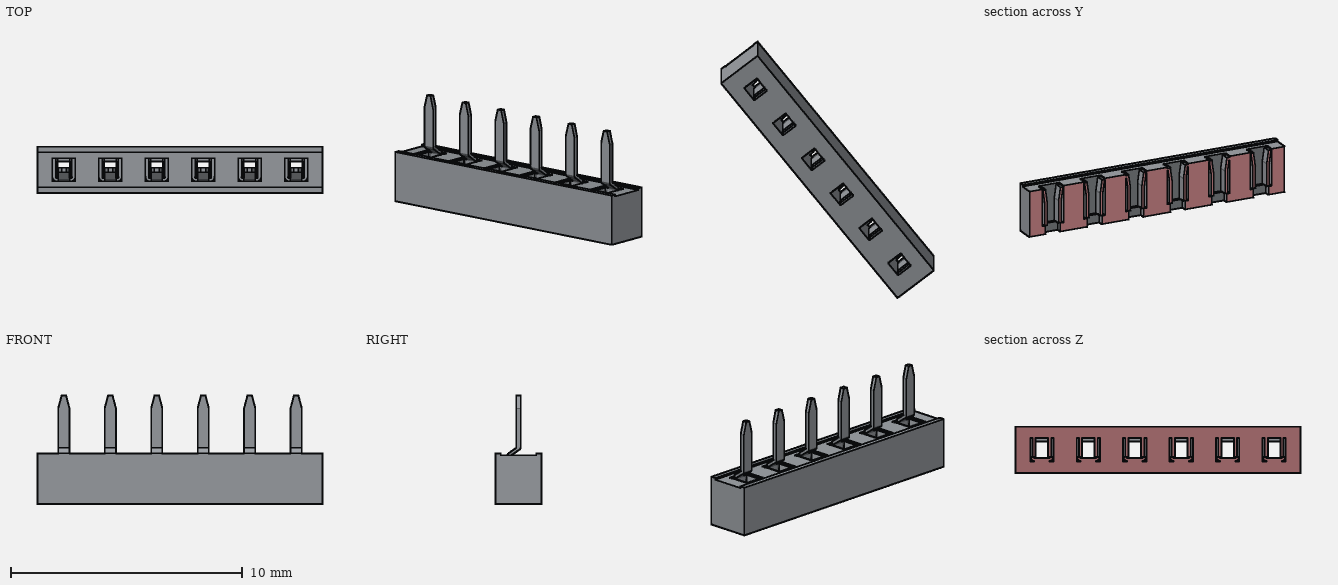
import cadquery as cq
import math


length = 12.3
depth = 2.0
height = 2.19
rail_width = 0.25
rail_height = 0.07
deck_z = height - rail_height

contact_count = 6
pitch = 2.0
cavity_size = 1.0
floor_thickness = 0.4
entry_size = 0.7

sheet = 0.15
bend_radius = 0.2
inner_radius = bend_radius - sheet
arm_gap = 0.53
lean_height = 0.6
clip_recess = 0.05
clip_top_z = deck_z - clip_recess
lean_end_z = clip_top_z - lean_height

pin_width = 0.49
pin_thickness = 0.2
pin_top_z = 4.7
tip_width = 0.2
tip_length = 0.55
crank_z = 2.44
crank_angle = 35.0

half_cavity = cavity_size / 2
back_y = half_cavity
front_y = -half_cavity
bend_y = front_y + bend_radius


def make_housing():
    """Block with a rail along both long top edges and a cavity per contact."""
    block = cq.Workplane("XY").box(length, depth, height, centered=(True, True, False))
    channel = (
        cq.Workplane("XY")
        .workplane(offset=deck_z)
        .rect(length, depth - 2 * rail_width)
        .extrude(rail_height)
    )
    cavities = (
        cq.Workplane("XY")
        .workplane(offset=floor_thickness)
        .rarray(pitch, pitch, contact_count, 1)
        .rect(cavity_size, cavity_size)
        .extrude(height)
    )
    entries = (
        cq.Workplane("XY")
        .rarray(pitch, pitch, contact_count, 1)
        .rect(entry_size, entry_size)
        .extrude(floor_thickness)
    )
    return block.cut(channel).cut(cavities).cut(entries)


def make_clip():
    """Front plate bent round into two arms that lean inwards, then drop to the floor."""
    clip_height = clip_top_z - floor_thickness
    inside = (
        cq.Workplane("XY")
        .box(cavity_size - 2 * sheet, cavity_size, clip_height, centered=(True, False, False))
        .edges("|Z and <Y")
        .fillet(inner_radius)
        .translate((0, sheet, 0))
    )
    plate = (
        cq.Workplane("XY")
        .box(cavity_size, cavity_size, clip_height, centered=(True, False, False))
        .edges("|Z and <Y")
        .fillet(bend_radius)
        .cut(inside)
        .translate((0, front_y, floor_thickness))
    )
    plate_zone = (
        cq.Workplane("XY")
        .box(cavity_size, bend_radius, height, centered=(True, False, False))
        .translate((0, front_y, 0))
    )
    half_gap = arm_gap / 2
    arm = (
        cq.Workplane("XZ", origin=(0, back_y, 0))
        .moveTo(half_cavity, clip_top_z)
        .lineTo(half_cavity - sheet, clip_top_z)
        .lineTo(half_gap, lean_end_z)
        .lineTo(half_gap, floor_thickness)
        .lineTo(half_gap + sheet, floor_thickness)
        .lineTo(half_gap + sheet, lean_end_z)
        .close()
        .extrude(back_y - bend_y)
    )
    return plate.intersect(plate_zone).union(arm).union(arm.mirror("YZ"))


def polar(center, radius, angle):
    """Point at a radius and angle from a centre."""
    return (center[0] + radius * math.cos(angle), center[1] + radius * math.sin(angle))


def make_pin():
    """Tail rising from the front plate, cranked to the cavity centre, with a tapered tip."""
    slope = math.radians(crank_angle)
    half_pin = pin_thickness / 2

    upper = (-half_pin, crank_z)
    upper_end = slope - math.pi / 2
    mean_thickness = (pin_thickness + sheet) / 2

    run = -half_pin - bend_y
    lower = (bend_y, crank_z - run * math.tan(slope) - bend_radius / math.cos(slope))
    lower_start = slope + math.pi / 2
    lower_middle = (lower_start + math.pi) / 2

    side = (
        cq.Workplane("YZ")
        .moveTo(-half_pin, pin_top_z)
        .lineTo(*upper)
        .lineTo(*polar(lower, bend_radius, lower_start))
        .threePointArc(polar(lower, bend_radius, lower_middle), polar(lower, bend_radius, math.pi))
        .lineTo(front_y, floor_thickness)
        .lineTo(front_y + sheet, floor_thickness)
        .lineTo(*polar(lower, inner_radius, math.pi))
        .threePointArc(
            polar(lower, inner_radius, lower_middle), polar(lower, inner_radius, lower_start)
        )
        .lineTo(*polar(upper, sheet, upper_end))
        .threePointArc(polar(upper, mean_thickness, upper_end / 2), (half_pin, crank_z))
        .lineTo(half_pin, pin_top_z)
        .close()
        .extrude(pin_width / 2, both=True)
    )
    taper_z = pin_top_z - tip_length
    outline = (
        cq.Workplane("XZ")
        .moveTo(-pin_width / 2, 0)
        .lineTo(pin_width / 2, 0)
        .lineTo(pin_width / 2, taper_z)
        .lineTo(tip_width / 2, pin_top_z)
        .lineTo(-tip_width / 2, pin_top_z)
        .lineTo(-pin_width / 2, taper_z)
        .close()
        .extrude(depth, both=True)
    )
    return side.intersect(outline)


contact = make_clip().union(make_pin())
first_x = -(contact_count - 1) / 2 * pitch
result = make_housing()
for index in range(contact_count):
    result = result.union(contact.translate((first_x + index * pitch, 0, 0)))